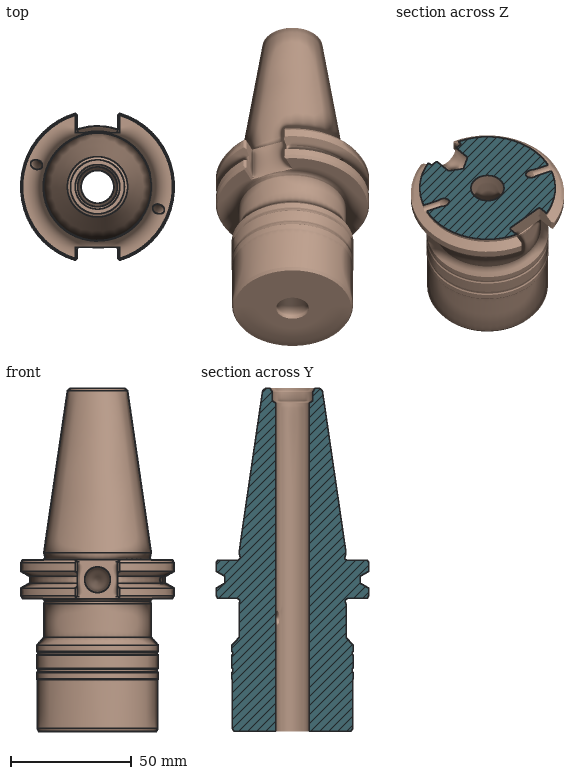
import cadquery as cq
import math

total_height = 142.2
flange_bottom = 55.0
flange_top = 71.1
taper_bottom = 74.0
neck_bottom = 39.0
body_top = 35.7

flange_dia = 63.5
v_groove_dia = 56.3
taper_dia = 44.5
relief_dia = 43.5
neck_dia = taper_dia
neck_relief_dia = 43.8
body_dia = 50.5
through_dia = 13.5
counterbore_dia = 16.5
counterbore_mouth_dia = 18.5

taper_ratio = 7 / 24
taper_edge = 1.1
relief_fillet = 0.7

flange_chamfer_height = 1.3
flange_chamfer_width = 0.7
nose_chamfer_height = 1.3
nose_chamfer_width = 0.7
neck_fillet = 1.1
neck_relief_height = 1.0

v_groove_middle = 62.8
v_groove_width = 7.0
v_groove_slope = 30.0
v_groove_edge = (flange_dia - v_groove_dia) / 2 * math.tan(math.radians(v_groove_slope))

ring_depth = 0.4
ring_edge = 0.4
ring_spans = [(24.3, 26.3), (31.5, 33.3)]

nut_dia = 50.0
nut_top = 21.5
nut_step_height = 0.4

mouth_depth = 1.7
counterbore_depth = 5.3
counterbore_floor_drop = 1.0

slot_width = 16.8
slot_chamfer = 0.9
slot_fillet = 0.7
front_slot_floor = 25.0
rear_slot_floor = 22.5

blind_hole_dia = 10.7
blind_hole_depth = 7.1
drill_point_angle = 118.0

channel_dia = 3.8
channel_radius = 26.9
channel_tilt = 40.0
channel_angles = (160.0, 340.0)
cross_hole_dia = 3.3

cutter_overshoot = 1.4
channel_overshoot = 4.3


def make_turned_blank():
    """Revolve the outer profile around the Z axis."""
    taper_top_dia = taper_dia - (total_height - taper_bottom) * taper_ratio
    edge_dia = taper_top_dia + taper_edge * taper_ratio
    taper_r = taper_dia / 2
    relief_r = relief_dia / 2
    neck_r = neck_dia / 2
    flange_r = flange_dia / 2
    flange_rim_r = flange_r - flange_chamfer_width
    neck_relief_r = neck_relief_dia / 2
    nut_r = nut_dia / 2
    body_r = body_dia / 2
    fillet_bottom = flange_bottom - neck_fillet
    profile = (
        cq.Workplane("XZ")
        .moveTo(0, 0)
        .lineTo(nut_r - nose_chamfer_width, 0)
        .lineTo(nut_r, nose_chamfer_height)
        .lineTo(nut_r, nut_top)
        .lineTo(body_r, nut_top + nut_step_height)
        .lineTo(body_r, body_top)
        .lineTo(neck_r, neck_bottom)
        .lineTo(neck_r, fillet_bottom - neck_relief_height)
        .lineTo(neck_relief_r, fillet_bottom)
        .radiusArc((neck_relief_r + neck_fillet, flange_bottom), neck_fillet)
        .lineTo(flange_rim_r, flange_bottom)
        .lineTo(flange_r, flange_bottom + flange_chamfer_height)
        .lineTo(flange_r, flange_top - flange_chamfer_height)
        .lineTo(flange_rim_r, flange_top)
        .lineTo(relief_r + relief_fillet, flange_top)
        .radiusArc((relief_r, flange_top + relief_fillet), relief_fillet)
        .lineTo(taper_r, taper_bottom)
        .lineTo(edge_dia / 2, total_height - taper_edge)
        .lineTo(taper_top_dia / 2 - taper_edge, total_height)
        .lineTo(0, total_height)
        .close()
    )
    return profile.revolve(360, (0, 0, 0), (0, 1, 0))


def make_groove(floor_dia, mouth_dia, bottom, top, edge):
    """Turned groove; each side slopes over the height edge between floor and mouth."""
    floor_r = floor_dia / 2
    mouth_r = mouth_dia / 2
    outside_r = mouth_r + cutter_overshoot
    return (
        cq.Workplane("XZ")
        .moveTo(floor_r, bottom + edge)
        .lineTo(mouth_r, bottom)
        .lineTo(outside_r, bottom)
        .lineTo(outside_r, top)
        .lineTo(mouth_r, top)
        .lineTo(floor_r, top - edge)
        .close()
        .revolve(360, (0, 0, 0), (0, 1, 0))
    )


def make_bore():
    """Through bore with a chamfered counterbore at the small end of the taper."""
    through_r = through_dia / 2
    counterbore_r = counterbore_dia / 2
    counterbore_floor = total_height - counterbore_depth
    return (
        cq.Workplane("XZ")
        .lineTo(through_r, 0)
        .lineTo(through_r, counterbore_floor - counterbore_floor_drop)
        .lineTo(counterbore_r, counterbore_floor)
        .lineTo(counterbore_r, total_height - mouth_depth)
        .lineTo(counterbore_mouth_dia / 2, total_height)
        .lineTo(0, total_height)
        .close()
        .revolve(360, (0, 0, 0), (0, 1, 0))
    )


def make_drive_slot(side, floor_distance):
    """Cutter for one drive slot; side is -1 towards -Y and +1 towards +Y."""
    height = flange_top - flange_bottom
    length = flange_dia / 2 - floor_distance + cutter_overshoot
    slot = (
        cq.Workplane("XY")
        .box(slot_width, length, height, centered=(True, False, False))
        .edges("<Y and |Z")
        .fillet(slot_fillet)
    )
    wall = slot_width / 2
    mouth = wall + slot_chamfer
    face_bevel = (
        cq.Workplane("XZ")
        .moveTo(-mouth, height)
        .lineTo(mouth, height)
        .lineTo(wall, height - slot_chamfer)
        .lineTo(-wall, height - slot_chamfer)
        .close()
        .extrude(-length)
    )
    rim = math.sqrt((flange_dia / 2) ** 2 - mouth ** 2) - floor_distance
    rim_overshoot = length - rim
    rim_bevel = (
        cq.Workplane("XY")
        .moveTo(-wall, rim - slot_chamfer)
        .lineTo(wall, rim - slot_chamfer)
        .lineTo(mouth + rim_overshoot, length)
        .lineTo(-mouth - rim_overshoot, length)
        .close()
        .extrude(height)
    )
    lower_face_bevel = face_bevel.mirror("XY", (0, 0, height / 2))
    slot = slot.union(face_bevel).union(lower_face_bevel).union(rim_bevel)
    if side < 0:
        slot = slot.mirror("XZ")
    return slot.translate((0, side * floor_distance, flange_bottom))


def make_blind_hole():
    """Drilled hole with a conical end, entering the front slot floor along +Y."""
    radius = blind_hole_dia / 2
    point_length = radius / math.tan(math.radians(drill_point_angle / 2))
    return (
        cq.Workplane("XY", origin=(0, -front_slot_floor, v_groove_middle))
        .lineTo(radius, 0)
        .lineTo(radius, blind_hole_depth)
        .lineTo(0, blind_hole_depth + point_length)
        .close()
        .revolve(360, (0, 0, 0), (0, 1, 0))
    )


def make_coolant_channel(angle):
    """Sloping channel from the flange face to the bore, with its cross hole from the V-groove."""
    tilt = math.radians(channel_tilt)
    length = channel_radius / math.sin(tilt)
    down = cq.Vector(-math.sin(tilt), 0, -math.cos(tilt))
    mouth = cq.Vector(channel_radius, 0, flange_top)
    channel = cq.Solid.makeCylinder(
        channel_dia / 2, length + channel_overshoot, mouth - down * channel_overshoot, down
    )
    meeting_radius = channel_radius - (flange_top - v_groove_middle) * math.tan(tilt)
    cross_hole = cq.Solid.makeCylinder(
        cross_hole_dia / 2, flange_dia / 2 - meeting_radius,
        cq.Vector(meeting_radius, 0, v_groove_middle), cq.Vector(1, 0, 0),
    )
    return cq.Workplane(channel).union(cq.Workplane(cross_hole)).rotate((0, 0, 0), (0, 0, 1), angle)


v_groove_bottom = v_groove_middle - v_groove_width / 2
v_groove_top = v_groove_middle + v_groove_width / 2
result = make_turned_blank()
result = result.cut(make_bore())
result = result.cut(make_groove(v_groove_dia, flange_dia, v_groove_bottom, v_groove_top, v_groove_edge))
ring_floor_dia = body_dia - 2 * ring_depth
for ring_bottom, ring_top in ring_spans:
    result = result.cut(make_groove(ring_floor_dia, body_dia, ring_bottom, ring_top, ring_edge))
result = result.cut(make_drive_slot(-1, front_slot_floor))
result = result.cut(make_drive_slot(1, rear_slot_floor))
result = result.cut(make_blind_hole())
for angle in channel_angles:
    result = result.cut(make_coolant_channel(angle))